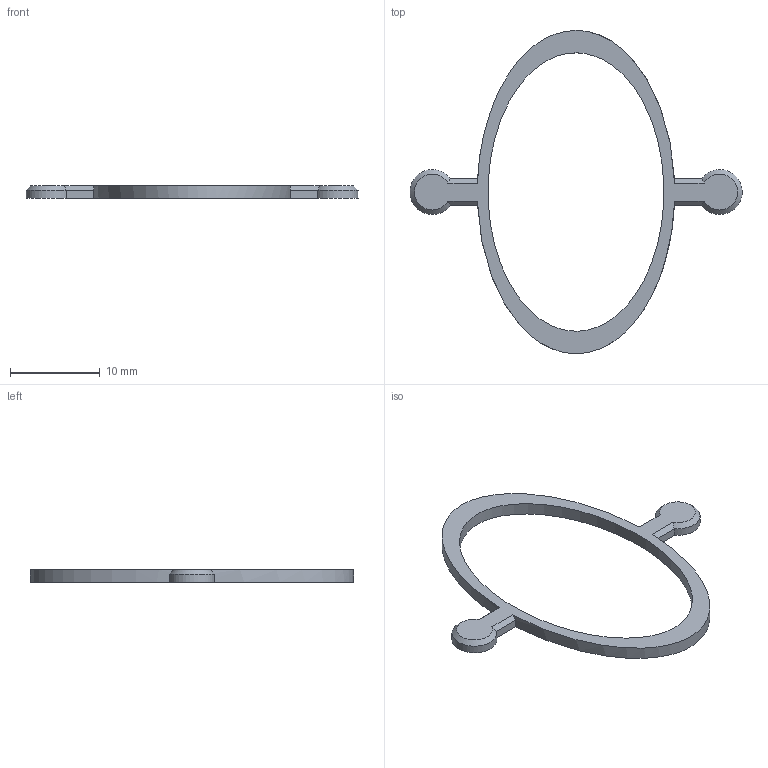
import cadquery as cq

thickness = 1.4
outer_width = 22.0
outer_length = 36.0
inner_width = 19.6
inner_length = 31.0

knob_diameter = 5.0
knob_center_x = 16.0
neck_width = 3.0
tab_chamfer = 0.5

neck_start_x = (outer_width + inner_width) / 4
neck_length = knob_center_x - neck_start_x


def elliptical_disc(width, length):
    return cq.Workplane("XY").ellipse(width / 2, length / 2).extrude(thickness)


def make_tab():
    """Tab on the +X side, chamfered along its whole top edge."""
    neck = (
        cq.Workplane("XY")
        .center(neck_start_x + neck_length / 2, 0)
        .rect(neck_length, neck_width)
        .extrude(thickness)
    )
    knob = (
        cq.Workplane("XY")
        .center(knob_center_x, 0)
        .circle(knob_diameter / 2)
        .extrude(thickness)
    )
    inner_end = cq.selectors.BoxSelector(
        (neck_start_x - tab_chamfer, -neck_width, 0),
        (neck_start_x + tab_chamfer, neck_width, 2 * thickness),
    )
    top_edges = cq.selectors.StringSyntaxSelector(">Z") - inner_end
    return neck.union(knob).edges(top_edges).chamfer(tab_chamfer)


opening = elliptical_disc(inner_width, inner_length)
ring = elliptical_disc(outer_width, outer_length).cut(opening)

right_tab = make_tab()
left_tab = right_tab.mirror("YZ")

result = ring.union(right_tab).union(left_tab)